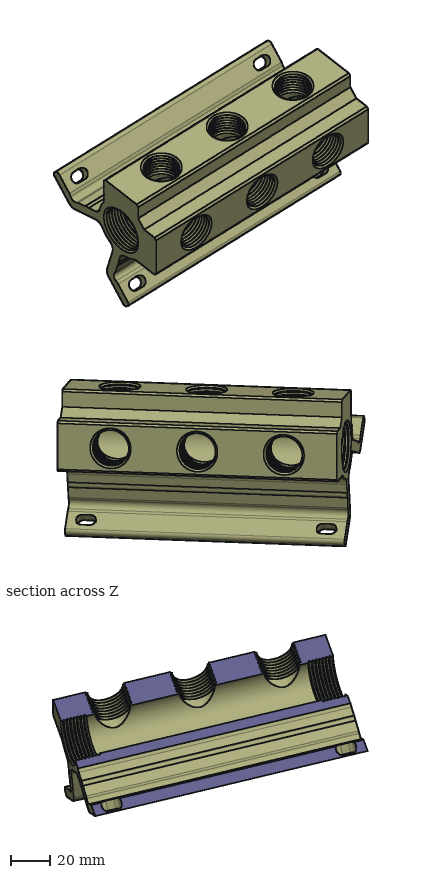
import cadquery as cq
import math

length = 145.0
head_reach = 26.8
arm_reach = 51.6
mirror_normal = cq.Vector(1, 0, -1)

block_width = 26.2
block_half = block_width / 2
block_edge_chamfer = 1.2
notch_chamfer = 4.6
core_radius = 16.7
root_radius = 5.0

web_angle = math.radians(15)
leg_angle = math.radians(45)
web_inner = 4.4
web_outer = -1.3
leg_inner = 29.7
leg_outer = 35.1
elbow_radius = 5.0
tip_radius = 2.0

ridge_place = 25.8
ridge_base_width = 2.9
ridge_top_width = 2.0
ridge_flank_height = 0.1
ridge_height = 0.3

relief_x = -36.0
relief_z = -2.6
relief_radius = 3.0
relief_leg_angle = math.radians(206)
relief_web_angle = math.radians(310)
relief_leg_end = 26.4
relief_web_end = 32.9

slot_length = 10.3
slot_width = 6.1
slot_place = 31.3
slot_end_distance = 10.2
slot_overshoot = 1.5

thread_length = 12.8
thread_turns = 7
thread_pitch = thread_length / thread_turns
bore_minor, bore_major = 24.0, 26.4
port_minor, port_major = 18.7, 21.0
port_spacing = 45.0


def web_point(along, height):
    """Point in the section, measured outward along the web and up from it."""
    x = -along * math.cos(web_angle) - height * math.sin(web_angle)
    z = -along * math.sin(web_angle) + height * math.cos(web_angle)
    return (x, z)


def leg_point(along, outward):
    """Point in the section, measured toward the leg tip and outward from the bore axis."""
    x = -(along + outward) * math.cos(leg_angle)
    z = (along - outward) * math.sin(leg_angle)
    return (x, z)


def polar(center, radius, angle):
    return (center[0] + radius * math.cos(angle), center[1] + radius * math.sin(angle))


def arc_middle(center, radius, start, end):
    """Middle point of the short arc between two points on a circle."""
    dx = (start[0] + end[0]) / 2 - center[0]
    dz = (start[1] + end[1]) / 2 - center[1]
    return polar(center, radius, math.atan2(dz, dx))


def on_core(target):
    """Point of the core circle in the direction of another point."""
    return polar((0, 0), core_radius, math.atan2(target[1], target[0]))


def half_section():
    """Upper-left half of the section: half of the head and one arm."""
    axis = (0, 0)
    fillet_orbit = core_radius + root_radius

    side_x = -block_half - root_radius
    side_center = (side_x, math.sqrt(fillet_orbit**2 - side_x**2))
    side_end = (-block_half, side_center[1])
    side_core = on_core(side_center)

    inner_height = web_inner + root_radius
    inner_along = math.sqrt(fillet_orbit**2 - inner_height**2)
    inner_center = web_point(inner_along, inner_height)
    inner_core = on_core(inner_center)
    inner_web = web_point(inner_along, web_inner)
    outer_height = web_outer - root_radius
    outer_along = math.sqrt(fillet_orbit**2 - outer_height**2)
    outer_center = web_point(outer_along, outer_height)
    outer_core = on_core(outer_center)
    outer_web = web_point(outer_along, web_outer)

    bend = leg_angle - web_angle
    elbow_out = leg_outer - elbow_radius
    elbow_height = web_outer + elbow_radius
    elbow_along = (elbow_out + elbow_height * math.sin(bend)) / math.cos(bend)
    elbow_center = web_point(elbow_along, elbow_height)
    elbow_web = web_point(elbow_along, web_outer)
    elbow_leg_along = (elbow_center[1] - elbow_center[0]) * math.cos(leg_angle)
    elbow_leg = leg_point(elbow_leg_along, leg_outer)

    tip_along = (arm_reach - tip_radius) / math.cos(leg_angle) - (leg_outer - tip_radius)
    tip_end = tip_along + tip_radius
    tip_inner_center = leg_point(tip_along, leg_inner + tip_radius)
    tip_outer_center = leg_point(tip_along, leg_outer - tip_radius)
    tip_inner = leg_point(tip_along, leg_inner)
    tip_inner_end = leg_point(tip_end, leg_inner + tip_radius)
    tip_outer_end = leg_point(tip_end, leg_outer - tip_radius)
    tip_outer = leg_point(tip_along, leg_outer)

    ridge_shoulder = web_inner + ridge_flank_height
    relief_center = (relief_x, relief_z)
    relief_web = polar(relief_center, relief_radius, relief_web_angle)
    relief_leg = polar(relief_center, relief_radius, relief_leg_angle)

    notch_middle = block_half + notch_chamfer / 2
    core_end = on_core((-1, -1))

    return (
        cq.Workplane("XZ")
        .moveTo(notch_middle, notch_middle)
        .lineTo(block_half, block_half + notch_chamfer)
        .lineTo(block_half, head_reach)
        .lineTo(-block_half, head_reach)
        .lineTo(*side_end)
        .threePointArc(arc_middle(side_center, root_radius, side_end, side_core), side_core)
        .threePointArc(arc_middle(axis, core_radius, side_core, inner_core), inner_core)
        .threePointArc(arc_middle(inner_center, root_radius, inner_core, inner_web), inner_web)
        .lineTo(*web_point(ridge_place - ridge_base_width / 2, web_inner))
        .lineTo(*web_point(ridge_place - ridge_top_width / 2, ridge_shoulder))
        .threePointArc(
            web_point(ridge_place, web_inner + ridge_height),
            web_point(ridge_place + ridge_top_width / 2, ridge_shoulder),
        )
        .lineTo(*web_point(ridge_place + ridge_base_width / 2, web_inner))
        .lineTo(*web_point(relief_web_end, web_inner))
        .lineTo(*relief_web)
        .threePointArc(
            arc_middle(relief_center, relief_radius, relief_web, relief_leg), relief_leg
        )
        .lineTo(*leg_point(relief_leg_end, leg_inner))
        .lineTo(*tip_inner)
        .threePointArc(
            arc_middle(tip_inner_center, tip_radius, tip_inner, tip_inner_end), tip_inner_end
        )
        .lineTo(*tip_outer_end)
        .threePointArc(
            arc_middle(tip_outer_center, tip_radius, tip_outer_end, tip_outer), tip_outer
        )
        .lineTo(*elbow_leg)
        .threePointArc(arc_middle(elbow_center, elbow_radius, elbow_leg, elbow_web), elbow_web)
        .lineTo(*outer_web)
        .threePointArc(arc_middle(outer_center, root_radius, outer_web, outer_core), outer_core)
        .threePointArc(arc_middle(axis, core_radius, outer_core, core_end), core_end)
        .close()
    )


def leg_slots():
    """Two slots square to the leg, one near each end."""
    center_x, center_z = leg_point(slot_place, leg_inner - slot_overshoot)
    leg_plane = cq.Plane(origin=(center_x, 0, center_z), xDir=(0, 1, 0), normal=(-1, 0, -1))
    slot_y = length / 2 - slot_end_distance
    return (
        cq.Workplane(leg_plane)
        .pushPoints([(-slot_y, 0), (slot_y, 0)])
        .slot2D(slot_length, slot_width)
        .extrude(leg_outer - leg_inner + 2 * slot_overshoot)
    )


def threaded_hole(minor, major, depth):
    """Hole going down from the origin, with V grooves for its thread."""
    outline = cq.Workplane("XZ").moveTo(0, 0).lineTo(major / 2, 0)
    for turn in range(thread_turns):
        crest = -(turn + 0.5) * thread_pitch
        root = -(turn + 1) * thread_pitch
        outline = outline.lineTo(minor / 2, crest).lineTo(major / 2, root)
    last_crest = -(thread_turns + 0.5) * thread_pitch
    outline = outline.lineTo(minor / 2, last_crest)
    outline = outline.lineTo(minor / 2, -depth).lineTo(0, -depth).close()
    return outline.revolve(360, (0, 0, 0), (0, 1, 0))


half_bar = half_section().extrude(length / 2, both=True)
half_bar = half_bar.edges("|Y and >Z").chamfer(block_edge_chamfer)
half_bar = half_bar.cut(leg_slots())
other_half = cq.Workplane(half_bar.val().mirror(mirror_normal))
bar = half_bar.union(other_half).clean()

end_hole = threaded_hole(bore_minor, bore_major, length / 2)
for side in (-1, 1):
    bore = end_hole.rotate((0, 0, 0), (1, 0, 0), -90 * side).translate((0, side * length / 2, 0))
    bar = bar.cut(bore)

top_port = threaded_hole(port_minor, port_major, head_reach)
top_port = top_port.translate((0, 0, head_reach))
side_port = top_port.rotate((0, 0, 0), (0, 1, 0), 90)
for step in (-1, 0, 1):
    for port in (top_port, side_port):
        bar = bar.cut(port.translate((0, step * port_spacing, 0)))

result = bar